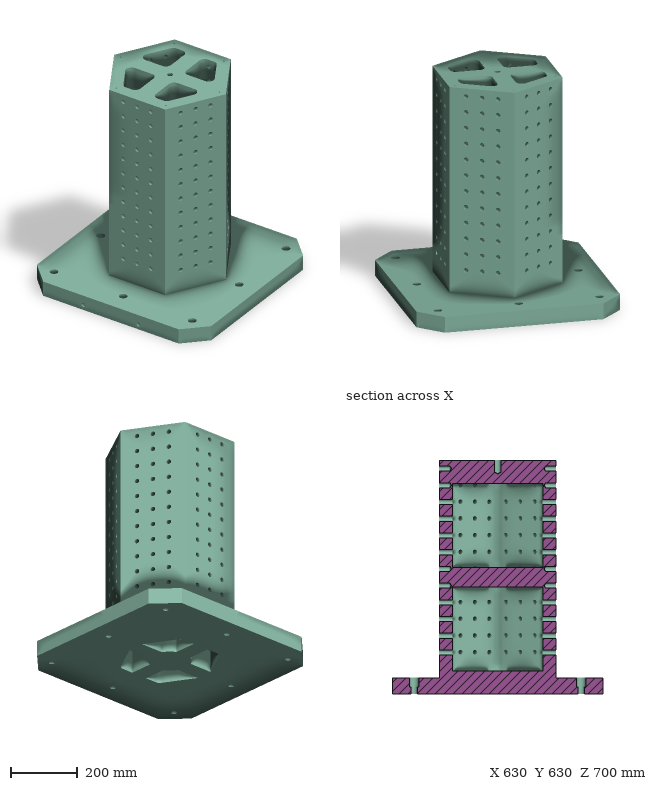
import cadquery as cq
import math

plate_side = 630.0
total_height = 700.0
plate_thickness = 50.0
plate_corner_cut = 70.0

across_flats = 350.0
wall = 40.0
inner_across_flats = across_flats - 2 * wall
pocket_corner_radius = 19.0

web_width = 56.0
end_web_height = 70.0
middle_web_height = 59.0
hub_diameter = 130.0
middle_web_bottom = (total_height - middle_web_height) / 2
middle_web_top = middle_web_bottom + middle_web_height
top_web_bottom = total_height - end_web_height

cavity_levels = [
    (end_web_height, middle_web_bottom),
    (middle_web_top, top_web_bottom),
]

grid_diameter = 14.0
grid_rows = 12
grid_row_span = 550.0
grid_row_pitch = grid_row_span / (grid_rows - 1)
grid_top_margin = 25.0
grid_column_pitch = 50.0
grid_blind_depth = 31.5
grid_open_depth = wall + 7.0
drill_point_angle = 118.0
web_columns = {0: 0, 60: 1, 120: -1, 180: 0, 240: 1, 300: -1}

lifting_diameter = 18.0
lifting_depth = 35.0
pin_diameter = 5.0
pin_depth = 14.0
pin_count = 6
pin_circle_radius = 178.5

bolt_diameter = 17.5
bolt_head_diameter = 26.0
bolt_head_depth = 28.0
bolt_spacing = 250.0
side_hole_diameter = 14.0
side_hole_depth = 28.0
side_hole_x = 99.5
side_hole_z = 17.5


def hexagon(flats, bottom, top):
    corner_diameter = flats / math.cos(math.pi / 6)
    return cq.Workplane("XY").workplane(offset=bottom).polygon(6, corner_diameter).extrude(top - bottom)


def drill(diameter, depth):
    """Blind drill along +Z from the origin, ending in a conical point."""
    radius = diameter / 2
    point_length = radius / math.tan(math.radians(drill_point_angle / 2))
    profile = [(0, 0), (radius, 0), (radius, depth), (0, depth + point_length)]
    return cq.Workplane("XZ").polyline(profile).close().revolve(360, (0, 0, 0), (0, 1, 0))


def make_body():
    plate = cq.Workplane("XY").box(plate_side, plate_side, plate_thickness, centered=(True, True, False))
    plate = plate.edges("|Z").chamfer(plate_corner_cut)
    return plate.union(hexagon(across_flats, 0, total_height))


def make_cross(bottom, top):
    """Two crossed webs whose ends are buried in the tower wall."""
    length = across_flats - wall / 2
    level = cq.Workplane("XY").workplane(offset=bottom)
    bar_along_x = level.rect(length, web_width).extrude(top - bottom)
    bar_along_y = level.rect(web_width, length).extrude(top - bottom)
    return bar_along_x.union(bar_along_y)


def round_upright_corners(shape):
    return shape.edges("|Z").fillet(pocket_corner_radius)


def hollow_tower(body):
    """Open the tower through its full height, leaving cross webs at three levels and a bottom hub."""
    cavity = hexagon(inner_across_flats, 0, top_web_bottom)
    body = body.cut(round_upright_corners(cavity))
    pockets = hexagon(inner_across_flats, top_web_bottom, total_height)
    pockets = pockets.cut(make_cross(top_web_bottom, total_height))
    body = body.cut(round_upright_corners(pockets))
    body = body.union(make_cross(0, end_web_height))
    body = body.union(make_cross(middle_web_bottom, middle_web_top))
    return body.union(cq.Workplane("XY").circle(hub_diameter / 2).extrude(end_web_height))


def meets_web(z):
    """True if a grid hole at height z is not wholly within an open cavity."""
    radius = grid_diameter / 2
    return not any(low <= z - radius and z + radius <= high for low, high in cavity_levels)


def make_face_drills(web_column):
    """Drills for the -Y face; holes of web_column stay blind where a web lies behind them."""
    open_drill = cq.Workplane("XY").circle(grid_diameter / 2).extrude(grid_open_depth).val()
    blind_drill = drill(grid_diameter, grid_blind_depth).val()
    drills = []
    for row in range(grid_rows):
        z = total_height - grid_top_margin - row * grid_row_pitch
        for column in (-1, 0, 1):
            is_blind = column == web_column and meets_web(z)
            tool = blind_drill if is_blind else open_drill
            tool = tool.rotate(cq.Vector(0, 0, 0), cq.Vector(1, 0, 0), -90)
            drills.append(tool.translate(cq.Vector(column * grid_column_pitch, -across_flats / 2, z)))
    return drills


def cut_grid_holes(body):
    tools = []
    for angle, web_column in web_columns.items():
        for tool in make_face_drills(web_column):
            tools.append(tool.rotate(cq.Vector(0, 0, 0), cq.Vector(0, 0, 1), angle))
    return body.cut(cq.Compound.makeCompound(tools))


def cut_top_holes(body):
    lifting = drill(lifting_diameter, lifting_depth).rotate((0, 0, 0), (1, 0, 0), 180)
    body = body.cut(lifting.translate((0, 0, total_height)))
    top = cq.Workplane("XY").workplane(offset=total_height)
    pin_spots = top.polarArray(pin_circle_radius, 0, 360, pin_count)
    return body.cut(pin_spots.circle(pin_diameter / 2).extrude(-pin_depth))


def cut_plate_holes(body):
    steps = (-bolt_spacing, 0, bolt_spacing)
    spots = [(x, y) for x in steps for y in steps if (x, y) != (0, 0)]
    top = cq.Workplane("XY").workplane(offset=plate_thickness).pushPoints(spots)
    body = body.cut(top.circle(bolt_diameter / 2).extrude(-plate_thickness))
    body = body.cut(top.circle(bolt_head_diameter / 2).extrude(-bolt_head_depth))
    side_drill = drill(side_hole_diameter, side_hole_depth).rotate((0, 0, 0), (1, 0, 0), -90)
    for x in (-side_hole_x, side_hole_x):
        body = body.cut(side_drill.translate((x, -plate_side / 2, side_hole_z)))
    return body


body = hollow_tower(make_body())
body = cut_grid_holes(body)
body = cut_top_holes(body)
result = cut_plate_holes(body).solids()